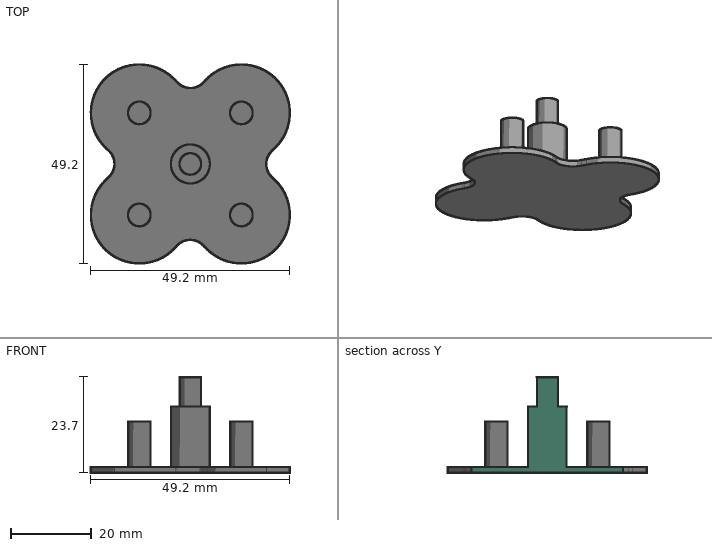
import cadquery as cq
import math

lobe_radius = 12.0
lobe_offset = 12.6
plate_thickness = 1.5
valley_radius = 4.45
valley_distance = 18.77
valley_shift = 0.03
valley_center = (valley_distance + valley_radius, -valley_shift)

pin_diameter = 5.6
pin_top = 12.7

post_diameter = 9.64
post_top = 16.4
tip_diameter = 5.34
tip_top = 23.66

lobe_centers = [(x, y) for x in (-lobe_offset, lobe_offset) for y in (-lobe_offset, lobe_offset)]


def rotate_point(point, degrees):
    """Turn a point about the part axis."""
    angle = math.radians(degrees)
    x, y = point
    return (
        x * math.cos(angle) - y * math.sin(angle),
        x * math.sin(angle) + y * math.cos(angle),
    )


def point_at(center, radius, angle):
    """Point on a circle at an angle in radians."""
    return (center[0] + radius * math.cos(angle), center[1] + radius * math.sin(angle))


def valley_flank(side):
    """Ends of the straight flank of the +X valley: on the valley arc, then on the lobe.

    The flank is the crossing tangent of the two circles. Side is +1 towards +Y, -1 towards -Y.
    """
    lobe_center = (lobe_offset, side * lobe_offset)
    run_x = lobe_center[0] - valley_center[0]
    run_y = lobe_center[1] - valley_center[1]
    lean = math.acos((lobe_radius + valley_radius) / math.hypot(run_x, run_y))
    normal = math.atan2(run_y, run_x) + side * lean
    return (
        point_at(valley_center, valley_radius, normal),
        point_at(lobe_center, -lobe_radius, normal),
    )


def clover_plate():
    """Four round lobes joined by concave valleys with short straight flanks."""
    valley_start, lobe_end = valley_flank(-1)
    valley_end, lobe_start = valley_flank(1)
    valley_bottom = point_at(valley_center, valley_radius, math.pi)
    lobe_tip = point_at((lobe_offset, lobe_offset), lobe_radius, math.pi / 4)

    outline = cq.Workplane("XY").moveTo(*lobe_end)
    for turn in (0, 90, 180, 270):
        outline = outline.lineTo(*rotate_point(valley_start, turn))
        outline = outline.threePointArc(
            rotate_point(valley_bottom, turn), rotate_point(valley_end, turn)
        )
        outline = outline.lineTo(*rotate_point(lobe_start, turn))
        outline = outline.threePointArc(
            rotate_point(lobe_tip, turn), rotate_point(lobe_end, turn + 90)
        )
    return outline.close().extrude(plate_thickness)


def lobe_pins():
    """Pins standing on the lobe centres, rooted at the plate underside."""
    return cq.Workplane("XY").pushPoints(lobe_centers).circle(pin_diameter / 2).extrude(pin_top)


def center_post():
    """Wide post with a narrower tip, rooted at the plate underside."""
    post = cq.Workplane("XY").circle(post_diameter / 2).extrude(post_top)
    tip = cq.Workplane("XY").circle(tip_diameter / 2).extrude(tip_top)
    return post.union(tip)


result = clover_plate().union(lobe_pins()).union(center_post())